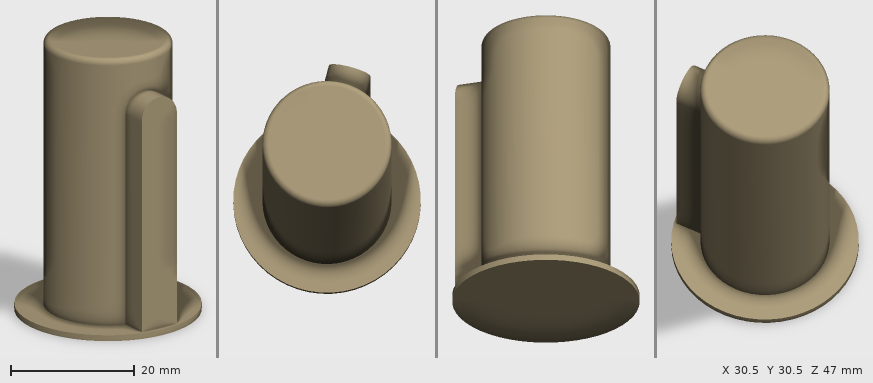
import cadquery as cq

total_height = 47.0
flange_diameter = 30.5
flange_thickness = 1.0
body_diameter = 21.0
top_fillet = 1.0
rib_width = 7.0
rib_reach = 14.4
rib_top = 41.0


def make_flange():
    """Thin round flange, underside at Z = 0."""
    return cq.Workplane("XY").circle(flange_diameter / 2).extrude(flange_thickness)


def make_body():
    """Upright cylinder with a rounded top edge."""
    body = cq.Workplane("XY").circle(body_diameter / 2).extrude(total_height)
    return body.faces(">Z").edges().fillet(top_fillet)


def make_rib():
    """Upright rib on the +X side with a half-round top, starting at the body axis."""
    half_width = rib_width / 2
    spring_height = rib_top - half_width
    return (
        cq.Workplane("YZ")
        .moveTo(-half_width, 0)
        .lineTo(half_width, 0)
        .lineTo(half_width, spring_height)
        .threePointArc((0, rib_top), (-half_width, spring_height))
        .close()
        .extrude(rib_reach)
    )


result = make_flange().union(make_body()).union(make_rib())